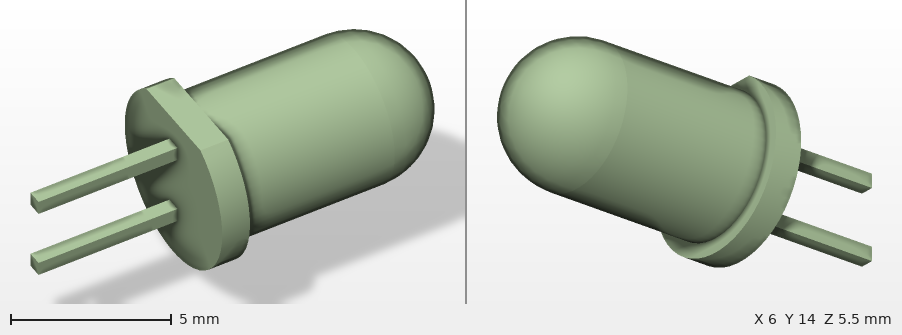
import cadquery as cq

body_diameter = 5.0
body_radius = body_diameter / 2
body_length = 5.5

flange_diameter = 6.0
flange_thickness = 1.0
flat_height = body_radius

lead_pitch = 2.54
lead_width = 0.5
lead_length = 5.0


def cylinder_along_y(diameter, start_y, length):
    """Solid cylinder centred on the Y axis, growing towards +Y."""
    axis_start = cq.Vector(0, start_y, 0)
    return cq.Workplane(cq.Solid.makeCylinder(diameter / 2, length, axis_start, cq.Vector(0, 1, 0)))


def make_flange():
    """Disc with its rear face at Y = 0 and one flat facing +Z."""
    disc = cylinder_along_y(flange_diameter, 0, flange_thickness)
    kept_height = flat_height + flange_diameter / 2
    kept_block = cq.Workplane("XY").box(flange_diameter, flange_thickness, kept_height).translate(
        (0, flange_thickness / 2, flat_height - kept_height / 2)
    )
    return disc.intersect(kept_block)


def make_lens():
    """Cylinder closed by a hemisphere, drawn as a half profile and revolved about Y."""
    dome_start = flange_thickness + body_length
    dome_tip = dome_start + body_radius
    return (
        cq.Workplane("XY")
        .moveTo(0, flange_thickness)
        .lineTo(body_radius, flange_thickness)
        .lineTo(body_radius, dome_start)
        .radiusArc((0, dome_tip), -body_radius)
        .close()
        .revolve(360, (0, 0, 0), (0, 1, 0))
    )


def make_lead(height):
    """Square lead running from the flange's rear face towards -Y."""
    return cq.Workplane("XY").box(lead_width, lead_length, lead_width).translate((0, -lead_length / 2, height))


result = make_flange().union(make_lens())
for side in (-1, 1):
    result = result.union(make_lead(side * lead_pitch / 2))